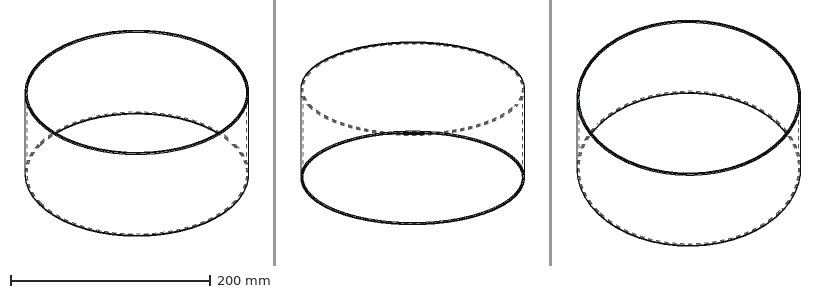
import cadquery as cq

outer_diameter = 225.0
height = 100.0
wall = 2.2

bevel_height = 1.4
bevel_width = 0.5

outer_radius = outer_diameter / 2
inner_radius = outer_radius - wall
rim_outer_radius = outer_radius - bevel_width
rim_inner_radius = inner_radius + bevel_width
upper_bevel_start = height - bevel_height

wall_section = [
    (rim_outer_radius, 0),
    (outer_radius, bevel_height),
    (outer_radius, upper_bevel_start),
    (rim_outer_radius, height),
    (rim_inner_radius, height),
    (inner_radius, upper_bevel_start),
    (inner_radius, bevel_height),
    (rim_inner_radius, 0),
]

result = cq.Workplane("XZ").polyline(wall_section).close().revolve(360, (0, 0), (0, 1))